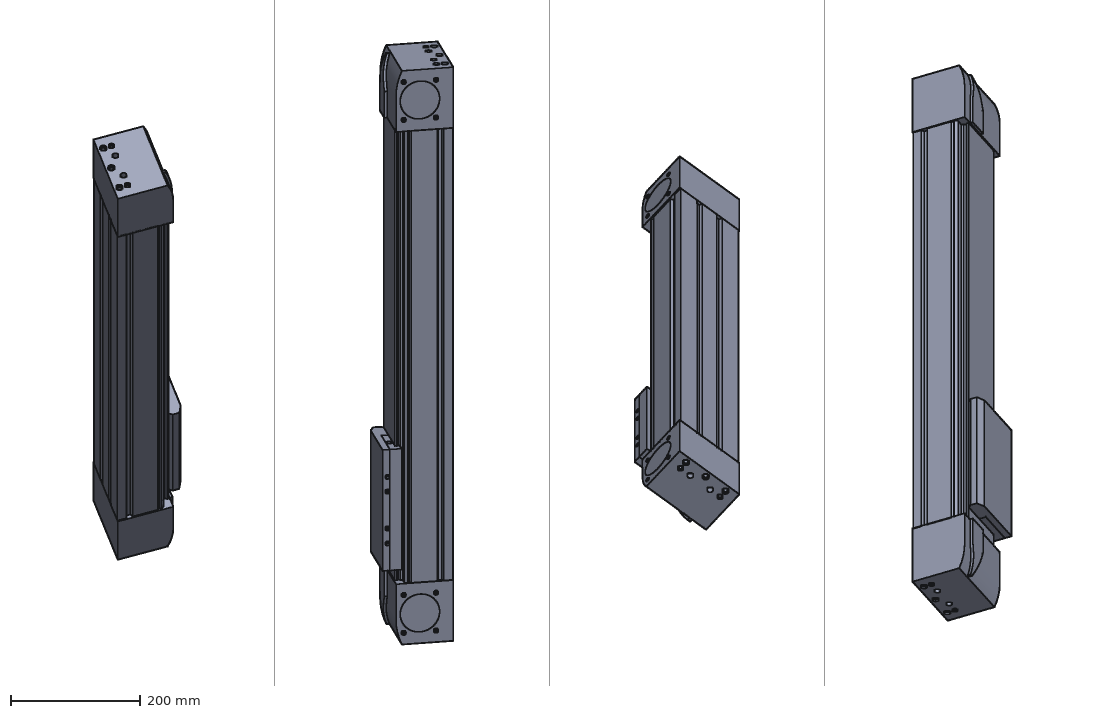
import cadquery as cq

LENGTH = 946.0
BLOCK_WIDTH = 120.0
BLOCK_LENGTH = 100.0
MID_Z = LENGTH / 2

BLOCK_TOP = 91.0
BLOCK_END_TOP = 81.0
RAMP_LENGTH = 42.0
RAMP_DROP = BLOCK_TOP - BLOCK_END_TOP
RAMP_RADIUS = (RAMP_LENGTH**2 + RAMP_DROP**2) / (2 * RAMP_DROP)

CAP_DIAMETER = 62.0
CAP_THICKNESS = 8.0
CAP_Y = 53.0
CAP_FROM_END = BLOCK_LENGTH / 2
CAP_SCREW_SPACING_Y = 51.0
CAP_SCREW_SPACING_Z = 62.0

END_HOLE_PITCH = 20.0
UPPER_HOLE_Y = 23.0
LOWER_HOLE_Y = 9.0

CAP_SCREW_HOLE = (7.0, 3.0, 4.2, 9.0)
END_SCREW_HOLE = (9.0, 3.0, 4.9, 14.0)
MOUNTING_HOLE = (10.0, 4.0, 7.0, 14.0)
PLAIN_HOLE_DIAMETER = 9.0
PLAIN_HOLE_DEPTH = 14.0

COVER_HEIGHT = 5.0
COVER_LEFT = 7.0
COVER_RIGHT = 42.0
COVER_TIP_LEFT = 28.0
COVER_TIP_RIGHT = 33.0
COVER_END_GAP = 3.0
COVER_TAPER_START = 57.0

PROFILE_WIDTH = 116.0
PROFILE_TOP = 89.0
PROFILE_LENGTH = LENGTH - 2 * BLOCK_LENGTH
SHOULDER_INSET = 3.3
NECK_INSET = 15.0
SHOULDER_Y = 77.0
SLOPE_BOTTOM = 72.0
NOTCH_BOTTOM = 66.0
NOTCH_DEPTH = 3.0
RAIL_GROOVE_BOTTOM = 80.0
RAIL_GROOVE_TOP = 86.0
RAIL_GROOVE_DEPTH = 3.0

SLOT_MOUTH = 10.0
SLOT_FLOOR = 6.0
SLOT_DEPTH = 5.0
SLOT_OFFSET = 20.0

CARRIAGE_LENGTH = 200.0
CARRIAGE_BOTTOM_Z = 123.0
CARRIAGE_MID_Z = CARRIAGE_BOTTOM_Z + CARRIAGE_LENGTH / 2
CARRIAGE_LEFT = -59.0
CARRIAGE_STEP_X = 7.0
CARRIAGE_RIGHT = 46.0
CARRIAGE_TOP = 112.0
PLATE_BOTTOM = 100.0
LEG_BOTTOM = 81.0
PLATE_BEVEL_WIDTH = 13.0
PLATE_BEVEL_HEIGHT = 7.0
PLATE_UNDERCUT_WIDTH = 4.0
PLATE_UNDERCUT_HEIGHT = 6.0
PLATE_HOLE_Y = 104.0
PLATE_HOLE_DIAMETER = 7.0
PLATE_HOLE_DEPTH = 9.0
PLATE_HOLE_OFFSET = 55.0
PLATE_SCREW_OFFSET = 30.0
SLIDER_HOLE_X = -26.5
SLIDER_HOLE_Y = 95.0


def cylinder(diameter, depth, mouth, direction):
    """Solid cylinder that starts at the point mouth and runs along direction."""
    start = cq.Vector(*mouth)
    return cq.Workplane(cq.Solid.makeCylinder(diameter / 2, depth, start, cq.Vector(*direction)))


def stepped_hole(sizes, mouth, direction):
    """Cutter for a hole with a wider mouth."""
    mouth_diameter, mouth_depth, bore_diameter, full_depth = sizes
    wide_part = cylinder(mouth_diameter, mouth_depth, mouth, direction)
    return wide_part.union(cylinder(bore_diameter, full_depth, mouth, direction))


def ramped_outline(raise_by):
    """YZ outline of the top block, with its curved back lifted by raise_by."""
    block_start = LENGTH - BLOCK_LENGTH
    return (
        cq.Workplane("YZ")
        .moveTo(0, block_start)
        .lineTo(BLOCK_TOP + raise_by, block_start)
        .lineTo(BLOCK_TOP + raise_by, LENGTH - RAMP_LENGTH)
        .radiusArc((BLOCK_END_TOP + raise_by, LENGTH), -RAMP_RADIUS)
        .lineTo(0, LENGTH)
        .close()
    )


def solid_block():
    """Top end block without its cap seat and holes."""
    return ramped_outline(0).extrude(BLOCK_WIDTH / 2, both=True)


def make_cap():
    """Bearing cap at the top end, flush with the -X side of its block."""
    centre = (-BLOCK_WIDTH / 2, CAP_Y, LENGTH - CAP_FROM_END)
    return cylinder(CAP_DIAMETER, CAP_THICKNESS, centre, (1, 0, 0))


def make_block():
    """Top end block with its cap seat and screw holes."""
    block = solid_block().cut(make_cap())
    for side_y in (-1, 1):
        for side_z in (-1, 1):
            hole_y = CAP_Y + side_y * CAP_SCREW_SPACING_Y / 2
            hole_z = LENGTH - CAP_FROM_END + side_z * CAP_SCREW_SPACING_Z / 2
            block = block.cut(stepped_hole(CAP_SCREW_HOLE, (-BLOCK_WIDTH / 2, hole_y, hole_z), (1, 0, 0)))
    down = (0, 0, -1)
    for side in (-1, 1):
        plain_mouth = (side * END_HOLE_PITCH, UPPER_HOLE_Y, LENGTH)
        screw_mouth = (side * 2 * END_HOLE_PITCH, UPPER_HOLE_Y, LENGTH)
        block = block.cut(cylinder(PLAIN_HOLE_DIAMETER, PLAIN_HOLE_DEPTH, plain_mouth, down))
        block = block.cut(stepped_hole(END_SCREW_HOLE, screw_mouth, down))
    for column in (-2, 0, 2):
        mounting_mouth = (column * END_HOLE_PITCH, LOWER_HOLE_Y, LENGTH)
        block = block.cut(stepped_hole(MOUNTING_HOLE, mounting_mouth, down))
    return block


def make_strip_cover():
    """Raised pad at the top end, resting on the curved back of the block."""
    start_z = LENGTH - BLOCK_LENGTH
    tip_z = LENGTH - COVER_END_GAP
    footprint = (
        cq.Workplane("XZ")
        .moveTo(COVER_LEFT, start_z)
        .lineTo(COVER_RIGHT, start_z)
        .lineTo(COVER_RIGHT, LENGTH - COVER_TAPER_START)
        .lineTo(COVER_TIP_RIGHT, tip_z)
        .lineTo(COVER_TIP_LEFT, tip_z)
        .lineTo(COVER_LEFT, LENGTH - COVER_TAPER_START)
        .close()
        .extrude(-CARRIAGE_TOP)
    )
    raised = ramped_outline(COVER_HEIGHT).extrude(BLOCK_WIDTH / 2, both=True)
    return footprint.intersect(raised).cut(solid_block())


def slot_cutter():
    """Slot cutter with its mouth on Y = 0, opening towards -Y."""
    return (
        cq.Workplane("XY", origin=(0, 0, BLOCK_LENGTH))
        .polyline(
            [
                (-SLOT_MOUTH / 2, 0),
                (SLOT_MOUTH / 2, 0),
                (SLOT_FLOOR / 2, SLOT_DEPTH),
                (-SLOT_FLOOR / 2, SLOT_DEPTH),
            ]
        )
        .close()
        .extrude(PROFILE_LENGTH)
    )


def make_profile():
    """Extrusion with a narrower neck at the top, a notch and a rail groove down each side."""
    half_width = PROFILE_WIDTH / 2
    neck = half_width - NECK_INSET
    right_side = [
        (half_width, 0),
        (half_width, NOTCH_BOTTOM),
        (half_width - NOTCH_DEPTH, (NOTCH_BOTTOM + SLOPE_BOTTOM) / 2),
        (half_width, SLOPE_BOTTOM),
        (half_width - SHOULDER_INSET, SHOULDER_Y),
        (neck, SHOULDER_Y),
        (neck, RAIL_GROOVE_BOTTOM),
        (neck - RAIL_GROOVE_DEPTH, (RAIL_GROOVE_BOTTOM + RAIL_GROOVE_TOP) / 2),
        (neck, RAIL_GROOVE_TOP),
        (neck, PROFILE_TOP),
    ]
    left_side = [(-x, y) for x, y in reversed(right_side)]
    profile = (
        cq.Workplane("XY", origin=(0, 0, BLOCK_LENGTH))
        .polyline(right_side + left_side)
        .close()
        .extrude(PROFILE_LENGTH)
    )
    for side in (-1, 1):
        bottom_slot = slot_cutter().translate((side * SLOT_OFFSET, 0, 0))
        side_slot = slot_cutter().rotate((0, 0, 0), (0, 0, 1), side * 90)
        side_slot = side_slot.translate((side * half_width, SLOT_OFFSET, 0))
        profile = profile.cut(bottom_slot).cut(side_slot)
    return profile


def extrude_carriage(points):
    """Extrude an XY outline over the length of the carriage."""
    outline = cq.Workplane("XY", origin=(0, 0, CARRIAGE_BOTTOM_Z)).polyline(points).close()
    return outline.extrude(CARRIAGE_LENGTH)


def make_slider():
    """Lower carriage part, with a leg beside the neck of the profile."""
    leg_inside = -(PROFILE_WIDTH / 2 - NECK_INSET)
    slider = extrude_carriage(
        [
            (CARRIAGE_LEFT, LEG_BOTTOM),
            (leg_inside, LEG_BOTTOM),
            (leg_inside, PROFILE_TOP),
            (CARRIAGE_STEP_X, PROFILE_TOP),
            (CARRIAGE_STEP_X, PLATE_BOTTOM),
            (CARRIAGE_LEFT, PLATE_BOTTOM),
        ]
    )
    mouth = (SLIDER_HOLE_X, SLIDER_HOLE_Y, CARRIAGE_BOTTOM_Z + CARRIAGE_LENGTH)
    return slider.cut(stepped_hole(END_SCREW_HOLE, mouth, (0, 0, -1)))


def make_plate():
    """Upper carriage part, thicker at +X where it reaches down beside the slider."""
    plate = extrude_carriage(
        [
            (CARRIAGE_LEFT, PLATE_BOTTOM),
            (CARRIAGE_STEP_X, PLATE_BOTTOM),
            (CARRIAGE_STEP_X, PROFILE_TOP),
            (CARRIAGE_RIGHT - PLATE_UNDERCUT_WIDTH, PROFILE_TOP),
            (CARRIAGE_RIGHT, PROFILE_TOP + PLATE_UNDERCUT_HEIGHT),
            (CARRIAGE_RIGHT, CARRIAGE_TOP - PLATE_BEVEL_HEIGHT),
            (CARRIAGE_RIGHT - PLATE_BEVEL_WIDTH, CARRIAGE_TOP),
            (CARRIAGE_LEFT, CARRIAGE_TOP),
        ]
    )
    inward = (1, 0, 0)
    for side in (-1, 1):
        plain_mouth = (CARRIAGE_LEFT, PLATE_HOLE_Y, CARRIAGE_MID_Z + side * PLATE_HOLE_OFFSET)
        screw_mouth = (CARRIAGE_LEFT, PLATE_HOLE_Y, CARRIAGE_MID_Z + side * PLATE_SCREW_OFFSET)
        plate = plate.cut(cylinder(PLATE_HOLE_DIAMETER, PLATE_HOLE_DEPTH, plain_mouth, inward))
        plate = plate.cut(stepped_hole(CAP_SCREW_HOLE, screw_mouth, inward))
    return plate


def at_both_ends(top_body):
    """The body at the top end and its mirror copy at the bottom end."""
    return [top_body.val(), top_body.mirror("XY", (0, 0, MID_Z)).val()]


profile = make_profile()
slider = make_slider()
plate = make_plate()
blocks = at_both_ends(make_block())
caps = at_both_ends(make_cap())
strip_covers = at_both_ends(make_strip_cover())

result = cq.Compound.makeCompound([profile.val(), slider.val(), plate.val(), *blocks, *caps, *strip_covers])